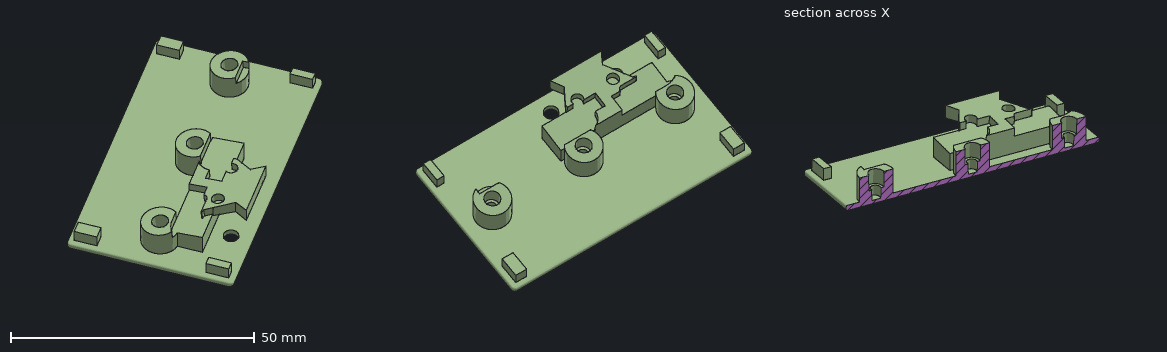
import cadquery as cq
import math

PLATE_X = 36.1
PLATE_Y = 60.15
PLATE_Z = 1.3
PLATE_CORNER_RADIUS = 1.0
PLATE_EDGE_RADIUS = 0.5

TOTAL_HEIGHT = 8.35
TILT_DEG = 5.0
LATCH_RIGHT = 16.3
TILT_SLOPE = math.tan(math.radians(TILT_DEG))
TOP_AT_CENTRE = TOTAL_HEIGHT - LATCH_RIGHT * TILT_SLOPE

POST_DIAMETER = 8.0
POST_PITCH = 22.85
POST_YS = (-POST_PITCH, 0.0, POST_PITCH)
BORE_DIAMETER = 3.5
BORE_DEPTH = 3.6
PILOT_DIAMETER = 2.2
PILOT_DEPTH = 6.0

TAB_TOP = 4.0
TAB_LENGTH = 4.95
TAB_OUTER_X = 16.7
TAB_OUTER_Y = 28.6
LEFT_TAB_WIDTH = 2.7
RIGHT_TAB_WIDTH = 1.8

BLOCK_LEFT = 2.5
BLOCK_RIGHT = 9.4
BLOCK_BACK = 3.95
BLOCK_FRONT = -23.5

LATCH_UNDERSIDE = 5.3
LATCH_MID_Y = -9.25
LATCH_BACK_Y = -2.3
LATCH_BACK_FLAT_X = 9.85
LATCH_HALF_NOTCH = 4.8
LATCH_NOTCH_X = 13.5
LATCH_NOTCH_FRONT_Y = LATCH_MID_Y - LATCH_HALF_NOTCH
LATCH_HALF_RIGHT = 6.45
LATCH_TIP_X = 7.4
LATCH_TIP_Y = -18.35
LATCH_TIP_WIDTH = 0.2
LATCH_TIP_ROOT_X = 7.75
LATCH_TIP_ROOT_Y = -17.6

MOUNT_DIAMETER = 3.2
MOUNT_X = 13.55
MOUNT_HALF_PITCH = 8.05

RECESS_DEPTH = 1.85
RECESS_LEFT = 2.35
RECESS_RIGHT = 12.0
BACK_RECESS_BACK = 6.0
BACK_RECESS_FRONT = -6.55
BACK_RECESS_RADIUS = 3.0
SLOT_LEFT = 5.3
SLOT_RIGHT = 8.85
SLOT_FRONT = -9.0
HOOK_X = 9.2
LATCH_HOLE_DIAMETER = 2.65
LATCH_HOLE_X = 9.6
NOTCH_HOLE_Y = -5.05
BLIND_HOLE_Y = -13.95
FRONT_RECESS_BACK = -11.35
FRONT_STEP_X = 6.45
FRONT_STEP_Y = -13.6
FRONT_STEP_RADIUS = 0.95
FRONT_ARC_START_Y = -22.2
FRONT_ARC_DIAMETER = 9.8
FRONT_ARC_RADIUS = FRONT_ARC_DIAMETER / 2
RECESS_CLEARANCE = 0.05
POST_NOTCH_BACK = 24.4

INCLINED = cq.Plane(
    origin=(0, 0, TOP_AT_CENTRE),
    xDir=(1, 0, TILT_SLOPE),
    normal=(-TILT_SLOPE, 0, 1),
)


def box_between(x_min, x_max, y_min, y_max, z_min, z_max):
    box = cq.Workplane("XY").box(x_max - x_min, y_max - y_min, z_max - z_min, centered=False)
    return box.translate((x_min, y_min, z_min))


def make_plate():
    plate = cq.Workplane("XY").rect(PLATE_X, PLATE_Y).extrude(PLATE_Z)
    plate = plate.edges("|Z").fillet(PLATE_CORNER_RADIUS)
    return plate.faces("<Z or >Z").edges().fillet(PLATE_EDGE_RADIUS)


def make_tabs():
    tabs = cq.Workplane("XY")
    left_row = (-TAB_OUTER_X, LEFT_TAB_WIDTH)
    right_row = (TAB_OUTER_X - TAB_LENGTH, RIGHT_TAB_WIDTH)
    for x_min, width in (left_row, right_row):
        for y_min in (-TAB_OUTER_Y, TAB_OUTER_Y - width):
            tab = box_between(x_min, x_min + TAB_LENGTH, y_min, y_min + width, PLATE_Z, TAB_TOP)
            tabs = tabs.union(tab)
    return tabs


def make_posts():
    posts = cq.Workplane("XY").pushPoints([(0, y) for y in POST_YS])
    return posts.circle(POST_DIAMETER / 2).extrude(TOTAL_HEIGHT)


def make_block():
    return box_between(BLOCK_LEFT, BLOCK_RIGHT, BLOCK_FRONT, BLOCK_BACK, 0, TOTAL_HEIGHT)


def make_latch():
    """Plate with a V notch at each end and a thin tip, hung over the right side of the block."""
    outline = [
        (BLOCK_LEFT, LATCH_BACK_Y),
        (LATCH_BACK_FLAT_X, LATCH_BACK_Y),
        (LATCH_NOTCH_X, LATCH_MID_Y + LATCH_HALF_NOTCH),
        (LATCH_RIGHT, LATCH_MID_Y + LATCH_HALF_RIGHT),
        (LATCH_RIGHT, LATCH_MID_Y - LATCH_HALF_RIGHT),
        (LATCH_NOTCH_X, LATCH_NOTCH_FRONT_Y),
        (LATCH_TIP_ROOT_X, LATCH_TIP_ROOT_Y),
        (LATCH_TIP_X + LATCH_TIP_WIDTH, LATCH_TIP_Y),
        (BLOCK_LEFT, LATCH_TIP_Y),
    ]
    latch = cq.Workplane("XY").workplane(offset=LATCH_UNDERSIDE).polyline(outline).close()
    return latch.extrude(TOTAL_HEIGHT - LATCH_UNDERSIDE)


def make_above_incline():
    return cq.Workplane(INCLINED).rect(2 * PLATE_X, 2 * PLATE_Y).extrude(TOTAL_HEIGHT)


def make_back_recess():
    """Recess beside the middle post, with the slot and the hooked round notch."""
    arc_start_y = BACK_RECESS_FRONT + BACK_RECESS_RADIUS
    arc_start_x = SLOT_LEFT - BACK_RECESS_RADIUS
    diagonal = BACK_RECESS_RADIUS * math.sqrt(0.5)
    arc_middle = (SLOT_LEFT - diagonal, arc_start_y - diagonal)
    hook_y = NOTCH_HOLE_Y + LATCH_HOLE_DIAMETER / 2
    return (
        cq.Workplane(INCLINED)
        .moveTo(arc_start_x, BACK_RECESS_BACK)
        .lineTo(arc_start_x, arc_start_y)
        .threePointArc(arc_middle, (SLOT_LEFT, BACK_RECESS_FRONT))
        .lineTo(SLOT_LEFT, SLOT_FRONT)
        .lineTo(SLOT_RIGHT, SLOT_FRONT)
        .lineTo(SLOT_RIGHT, NOTCH_HOLE_Y)
        .lineTo(LATCH_HOLE_X, NOTCH_HOLE_Y)
        .lineTo(LATCH_HOLE_X, hook_y)
        .lineTo(HOOK_X, hook_y)
        .lineTo(HOOK_X, LATCH_BACK_Y)
        .lineTo(RECESS_RIGHT, LATCH_BACK_Y)
        .lineTo(RECESS_RIGHT, BACK_RECESS_BACK)
        .close()
        .extrude(-RECESS_DEPTH)
    )


def make_front_recess():
    """Stepped recess that runs past the latch tip and into the front post."""
    step_diagonal = FRONT_STEP_RADIUS * math.sqrt(0.5)
    step_centre_y = FRONT_STEP_Y - FRONT_STEP_RADIUS
    post_arc_diagonal = FRONT_ARC_RADIUS * math.sqrt(0.5)
    right = BLOCK_RIGHT + RECESS_CLEARANCE
    latch_edge_slope = (LATCH_NOTCH_FRONT_Y - LATCH_TIP_ROOT_Y) / (LATCH_NOTCH_X - LATCH_TIP_ROOT_X)
    latch_edge_y = LATCH_TIP_ROOT_Y + latch_edge_slope * (right - LATCH_TIP_ROOT_X)
    post_arc_centre_x = RECESS_LEFT + FRONT_ARC_RADIUS
    return (
        cq.Workplane(INCLINED)
        .moveTo(RECESS_LEFT, FRONT_RECESS_BACK)
        .lineTo(FRONT_STEP_X, FRONT_RECESS_BACK)
        .lineTo(FRONT_STEP_X, FRONT_STEP_Y)
        .threePointArc(
            (FRONT_STEP_X + step_diagonal, step_centre_y + step_diagonal),
            (FRONT_STEP_X + FRONT_STEP_RADIUS, step_centre_y),
        )
        .lineTo(LATCH_TIP_X, LATCH_TIP_Y)
        .lineTo(LATCH_TIP_X + LATCH_TIP_WIDTH, LATCH_TIP_Y)
        .lineTo(LATCH_TIP_ROOT_X, LATCH_TIP_ROOT_Y)
        .lineTo(right, latch_edge_y)
        .lineTo(right, FRONT_ARC_START_Y - FRONT_ARC_RADIUS)
        .lineTo(post_arc_centre_x, FRONT_ARC_START_Y - FRONT_ARC_RADIUS)
        .threePointArc(
            (post_arc_centre_x - post_arc_diagonal, FRONT_ARC_START_Y - post_arc_diagonal),
            (RECESS_LEFT, FRONT_ARC_START_Y),
        )
        .close()
        .extrude(-RECESS_DEPTH)
    )


def make_post_notch():
    """Flat notch in the back post."""
    length = POST_DIAMETER
    centre = ((RECESS_LEFT + RECESS_RIGHT) / 2, POST_NOTCH_BACK - length / 2)
    notch = cq.Workplane(INCLINED).center(*centre).rect(RECESS_RIGHT - RECESS_LEFT, length)
    return notch.extrude(-RECESS_DEPTH)


def make_inclined_holes(points, diameter, depth):
    return cq.Workplane(INCLINED).pushPoints(points).circle(diameter / 2).extrude(-depth)


post_points = [(0, y) for y in POST_YS]
latch_hole_points = [(LATCH_HOLE_X, NOTCH_HOLE_Y), (LATCH_HOLE_X, BLIND_HOLE_Y)]
mount_points = [
    (MOUNT_X, LATCH_MID_Y - MOUNT_HALF_PITCH),
    (MOUNT_X, LATCH_MID_Y + MOUNT_HALF_PITCH),
]

body = make_plate()
body = body.union(make_tabs())
body = body.union(make_posts())
body = body.union(make_block())
body = body.union(make_latch())

body = body.cut(make_above_incline())
body = body.cut(make_back_recess())
body = body.cut(make_front_recess())
body = body.cut(make_post_notch())
body = body.cut(make_inclined_holes(latch_hole_points, LATCH_HOLE_DIAMETER, RECESS_DEPTH))
body = body.cut(make_inclined_holes(post_points, BORE_DIAMETER, BORE_DEPTH))
body = body.cut(make_inclined_holes(post_points, PILOT_DIAMETER, PILOT_DEPTH))

mount_holes = cq.Workplane("XY").pushPoints(mount_points).circle(MOUNT_DIAMETER / 2).extrude(PLATE_Z)
result = body.cut(mount_holes)